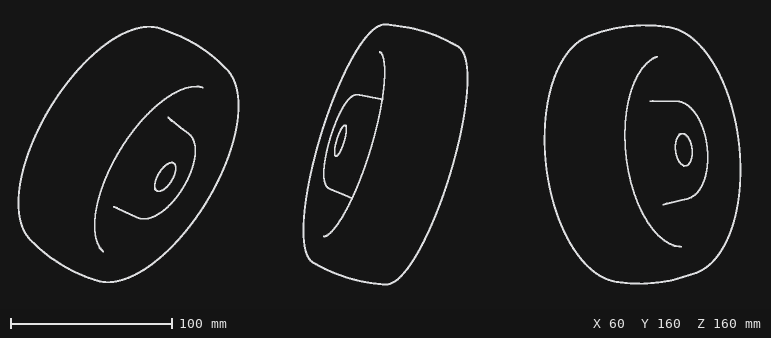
import cadquery as cq
import math

outer_radius = 80.0
hub_width = 60.0
rim_width = 50.0
web_thickness = 16.0
bore_diameter = 20.0

crown_radius = 100.0
recess_radius = 60.0
hub_radius = 30.2
recess_draft = 10.0
hub_draft = 6.0
edge_fillet = 3.0
root_fillet = 2.0

half_hub = hub_width / 2
half_rim = rim_width / 2
half_web = web_thickness / 2

recess_foot_radius = recess_radius - (half_rim - half_web) * math.tan(math.radians(recess_draft))
hub_foot_radius = hub_radius + (half_hub - half_web) * math.tan(math.radians(hub_draft))
tread_edge_radius = outer_radius - crown_radius + math.sqrt(crown_radius**2 - half_rim**2)


def wheel_blank():
    """Revolve the sharp-edged half section and mirror it across the middle plane."""
    profile = (
        cq.Workplane("XY")
        .moveTo(-half_hub, 0)
        .lineTo(-half_hub, hub_radius)
        .lineTo(-half_web, hub_foot_radius)
        .lineTo(-half_web, recess_foot_radius)
        .lineTo(-half_rim, recess_radius)
        .lineTo(-half_rim, tread_edge_radius)
        .radiusArc((0, outer_radius), crown_radius)
        .lineTo(0, 0)
        .close()
    )
    half = profile.revolve(360, (0, 0, 0), (1, 0, 0))
    return half.union(half.mirror("YZ"))


def circles_at(body, rings):
    """Select the circular edges with the given (distance from middle, radius) pairs."""
    tolerance = 0.02

    def matches(edge):
        if edge.geomType() != "CIRCLE":
            return False
        return any(
            abs(abs(edge.Center().x) - distance) < tolerance and abs(edge.radius() - radius) < tolerance
            for distance, radius in rings
        )

    return body.newObject([edge for edge in body.edges().vals() if matches(edge)])


def round_edges(body):
    outer_rings = [(half_hub, hub_radius), (half_rim, recess_radius), (half_rim, tread_edge_radius)]
    root_rings = [(half_web, hub_foot_radius), (half_web, recess_foot_radius)]
    body = circles_at(body, outer_rings).fillet(edge_fillet)
    return circles_at(body, root_rings).fillet(root_fillet)


bore = cq.Workplane("YZ").circle(bore_diameter / 2).extrude(half_hub, both=True)

result = round_edges(wheel_blank()).cut(bore)